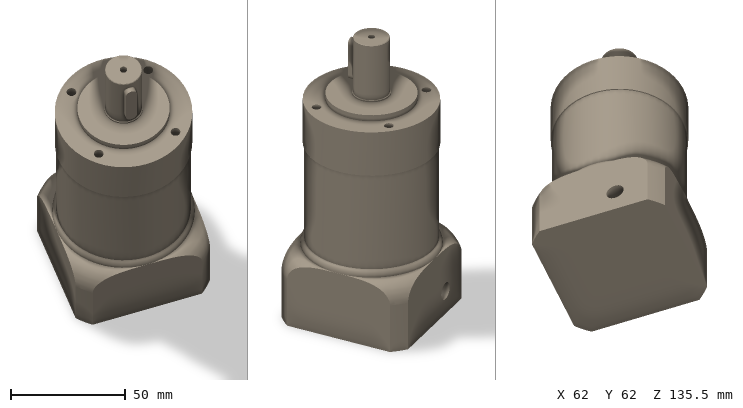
import cadquery as cq
import math

total_height = 135.5
base_width = 62.0
base_corner_radius = 40.0

dome_start_z = 23.3
ring_bottom_z = 32.9
ring_round = 3.5
ring_top_z = ring_bottom_z + ring_round
head_bottom_z = 82.9
head_top_z = 104.6
pilot_top_z = 107.6
collar_top_z = 108.3

ring_radius = base_width / 2
body_radius = 29.4
head_radius = 30.0
pilot_radius = 20.0
collar_radius = 8.5
shaft_radius = 8.0

dome_radius = 9.3
shaft_chamfer = 0.3

key_width = 5.0
key_length = 20.0
key_bottom_z = 112.5
key_outer_x = 10.3

drill_point_angle = 118.0
mount_circle_radius = 25.0
mount_hole_diameter = 4.2
mount_hole_depth = 10.0
center_hole_diameter = 3.3
center_hole_depth = 10.0

access_diameter = 8.0
access_y = -10.0
access_z = 11.4
access_core_radius = 14.1


def cylinder(radius, bottom_z, top_z):
    """Upright cylinder on the Z axis."""
    return cq.Workplane("XY").workplane(offset=bottom_z).circle(radius).extrude(top_z - bottom_z)


def make_base():
    """Square base whose corners are turned round and domed on top."""
    dome_top_z = dome_start_z + dome_radius
    turned = (
        cylinder(base_corner_radius, 0, dome_top_z)
        .faces(">Z")
        .edges()
        .fillet(dome_radius)
    )
    square = cq.Workplane("XY").rect(base_width, base_width).extrude(dome_top_z)
    return turned.intersect(square)


def make_ring():
    """Ring between base and body, rounded over its full height above the base."""
    ring = cylinder(ring_radius, dome_start_z, ring_top_z)
    return ring.faces(">Z").edges().fillet(ring_round)


def make_shaft():
    """Output shaft with a chamfered tip and a low collar at its foot."""
    shaft = cylinder(shaft_radius, pilot_top_z, total_height).faces(">Z").chamfer(shaft_chamfer)
    return shaft.union(cylinder(collar_radius, pilot_top_z, collar_top_z))


def make_key():
    """Round-ended key standing out of the shaft toward +X."""
    return (
        cq.Workplane("YZ")
        .center(0, key_bottom_z + key_length / 2)
        .slot2D(key_length, key_width, 90)
        .extrude(key_outer_x)
    )


def drilled_hole(x, y, top_z, diameter, depth):
    """Blind hole going down from top_z and ending in a drill point."""
    radius = diameter / 2
    point_depth = radius / math.tan(math.radians(drill_point_angle / 2))
    profile = [(0, 0), (radius, 0), (radius, -depth), (0, -depth - point_depth)]
    hole = cq.Workplane("XZ").polyline(profile).close().revolve(360, (0, 0), (0, 1))
    return hole.translate((x, y, top_z))


def access_hole():
    """Hole from the -X face inward to the round core of the base."""
    bore = (
        cq.Workplane("YZ")
        .workplane(offset=-base_width / 2)
        .center(access_y, access_z)
        .circle(access_diameter / 2)
        .extrude(base_width / 2)
    )
    return bore.cut(cylinder(access_core_radius, 0, ring_bottom_z))


result = make_base()
result = result.union(make_ring())
result = result.union(cylinder(body_radius, dome_start_z, head_bottom_z))
result = result.union(cylinder(head_radius, head_bottom_z, head_top_z))
result = result.union(cylinder(pilot_radius, head_top_z, pilot_top_z))
result = result.union(make_shaft())
result = result.union(make_key())

mount_offset = mount_circle_radius * math.sqrt(0.5)
for side_x in (-1, 1):
    for side_y in (-1, 1):
        x = side_x * mount_offset
        y = side_y * mount_offset
        result = result.cut(drilled_hole(x, y, head_top_z, mount_hole_diameter, mount_hole_depth))

result = result.cut(drilled_hole(0, 0, total_height, center_hole_diameter, center_hole_depth))
result = result.cut(access_hole())